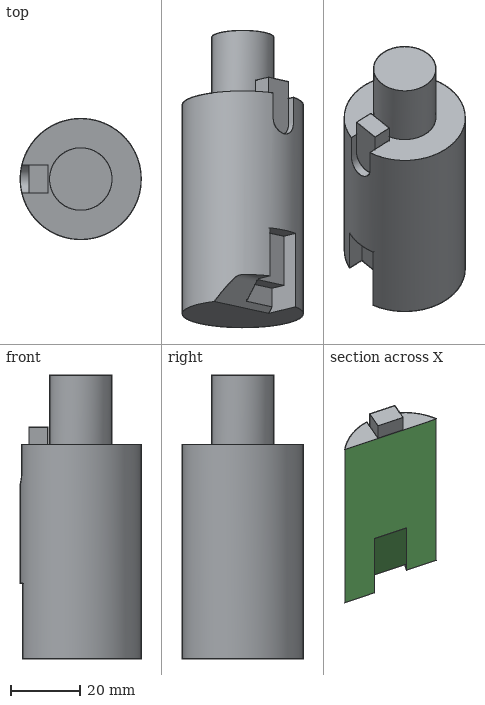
import cadquery as cq
import math

total_height = 82.0
body_diameter = 35.0
body_height = 62.0
journal_diameter = 18.0
body_radius = body_diameter / 2

upper_key_width = 8.0
upper_key_bottom = 50.4
upper_key_top = 67.0
upper_key_outer_x = -15.0
upper_key_inner_x = -9.5

lower_key_width = 10.2
lower_key_bottom = 7.2
lower_key_top = 21.8
lower_key_outer_x = -11.9
lower_key_inner_x = -7.0

relief_height = 7.55
relief_base_x = -5.6
relief_angle = 39.5
relief_fillet = 2.5

cut_margin = 4.1
cut_outer_x = -body_radius - cut_margin


def block(x_min, x_max, width, z_min, z_max):
    """Box centred on Y = 0 between the given X and Z limits."""
    return cq.Workplane("XY").box(
        x_max - x_min, width, z_max - z_min, centered=(False, True, False)
    ).translate((x_min, 0, z_min))


def upper_key_shape(x_min, x_max):
    """Key outline with a half-round lower end, extruded along X."""
    radius = upper_key_width / 2
    arc_center_z = upper_key_bottom + radius
    return (
        cq.Workplane("YZ", origin=(x_min, 0, 0))
        .moveTo(-radius, upper_key_top)
        .lineTo(-radius, arc_center_z)
        .threePointArc((0, upper_key_bottom), (radius, arc_center_z))
        .lineTo(radius, upper_key_top)
        .close()
        .extrude(x_max - x_min)
    )


def relief_cutter():
    """Wedge under a sloping face, running from the lower pocket's -Y wall out past +Y."""
    relief_top_x = relief_base_x - relief_height * math.tan(math.radians(relief_angle))
    y_start = -lower_key_width / 2
    y_end = body_radius + cut_margin
    wedge = (
        cq.Workplane("XZ", origin=(0, y_start, 0))
        .moveTo(cut_outer_x, 0)
        .lineTo(relief_base_x, 0)
        .lineTo(relief_top_x, relief_height)
        .lineTo(cut_outer_x, relief_height)
        .close()
        .extrude(y_start - y_end)
    )
    inner_top_edge = cq.selectors.NearestToPointSelector(
        (relief_top_x, (y_start + y_end) / 2, relief_height)
    )
    return wedge.edges(inner_top_edge).fillet(relief_fillet)


def make_shaft():
    """Body and journal in one piece, with both key seats and the relief cut away."""
    body = cq.Workplane("XY").circle(body_radius).extrude(body_height)
    journal = cq.Workplane("XY").circle(journal_diameter / 2).extrude(total_height)
    upper_seat = upper_key_shape(cut_outer_x, upper_key_inner_x)
    lower_seat = block(cut_outer_x, lower_key_inner_x, lower_key_width, 0, lower_key_top)
    return (
        body.union(journal)
        .cut(upper_seat)
        .cut(lower_seat)
        .cut(relief_cutter())
    )


def make_upper_key():
    return upper_key_shape(upper_key_outer_x, upper_key_inner_x)


def make_lower_key():
    return block(lower_key_outer_x, lower_key_inner_x, lower_key_width, lower_key_bottom, lower_key_top)


shaft = make_shaft()
upper_key = make_upper_key()
lower_key = make_lower_key()

result = cq.Compound.makeCompound([shaft.val(), upper_key.val(), lower_key.val()])